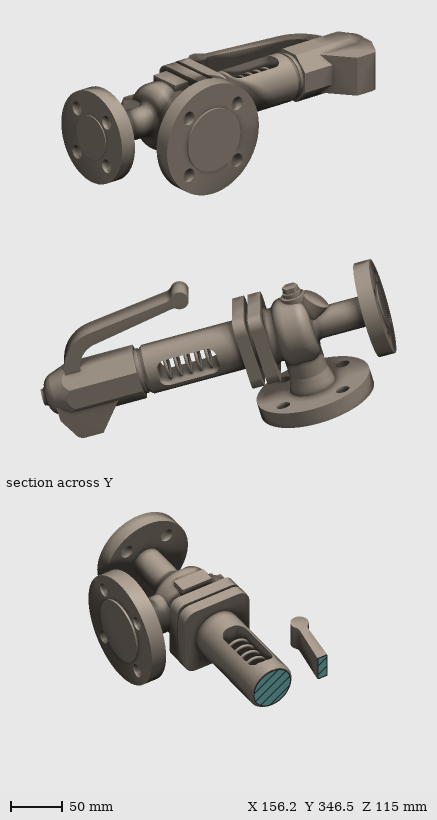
import cadquery as cq
import math


total_length = 346.5
cap_bottom_y = 248.0
spindle_groove_top_y = 244.5
spindle_groove_bottom_y = 242.5
bonnet_shoulder_y = 239.5
bonnet_flange_top_y = 143.5
bonnet_flange_bottom_y = 131.5
body_flange_top_y = 128.0
body_flange_bottom_y = 115.0
body_top_y = 107.8
body_bottom_y = 71.0

bonnet_radius = 24.5
bonnet_top_radius = 22.5
collar_radius = 22.5
groove_radius = 21.5
window_width = 27.0
window_top_y = 229.0
window_bottom_y = 168.5
window_corner_radius = 9.0

coil_count = 5
coil_first_y = 178.8
coil_pitch = 10.5
coil_ring_radius = 14.0
coil_wire_radius = 1.55

cap_sides = 8
cap_across_flats = 50.0
cone_top_y = 334.7
cone_top_radius = 20.5
cone_touch_y = 322.2
dome_top_y = 342.0
dome_top_radius = 12.8
knob_radius = 8.3
knob_foot_top_y = 345.0
dome_middle = (17.3, 339.2)
knob_foot_middle = (9.7, 343.0)

bonnet_flange_side = 75.0
bonnet_flange_corner = 13.0
body_flange_side = 73.5
body_flange_corner = 11.0
joint_upper_radius = 27.7
joint_lower_radius = 31.5
joint_step_y = 129.5

body_radius = 34.0
neck_flange_radius = 29.0
neck_waist_radius = 26.7
neck_waist_y = 111.2
neck_foot_radius = 27.7
body_top_rounding = 11.5
body_bottom_rounding = 12.0

raised_face_height = 1.0
inlet_pipe_radius = 15.2
inlet_fillet = 5.5
inlet_flange_radius = 47.5
inlet_flange_back_y = 17.0
inlet_face_radius = 22.5
inlet_bolt_circle_radius = 32.5

outlet_axis_y = 90.0
outlet_pipe_radius = 19.0
outlet_cone_start_x = 45.5
outlet_cone_end_radius = 23.2
outlet_flange_radius = 57.5
outlet_flange_back_x = 61.7
outlet_flange_front_x = 78.0
outlet_face_x = 80.0
outlet_face_radius = 32.5
outlet_bolt_circle_radius = 42.5
bolt_hole_radius = 7.0
bolt_count = 4

drain_axis_y = 82.0
drain_boss_radius = 12.0
drain_boss_end_x = -36.5
drain_washer_radius = 9.0
drain_washer_end_x = -40.5
drain_hex_sides = 6
drain_hex_across_flats = 14.0
drain_hex_end_x = -46.0
slant_boss_radius = 14.2
slant_boss_x = -26.0
slant_boss_y = 61.7
slant_boss_length = 27.7

pad_width = 33.5
pad_top_y = 108.0
pad_bottom_y = 91.8
pad_bottom_z = 17.3
pad_top_z = 36.5

lever_thickness = 26.7
lever_root_x = -17.3
lever_bend_start_x = -22.0
lever_bend_end_y = 282.7
lever_outer_root_y = 317.7
lever_outer_bend_middle = (-46.8, 306.3)
lever_outer_bend_end_x = -58.5
lever_outer_tip_x = -71.0
lever_inner_root_y = 301.8
lever_inner_bend_middle = (-37.5, 295.2)
lever_inner_bend_end_x = -45.5
lever_inner_tip_x = -62.7
lever_ball_x = -67.2
lever_ball_y = 187.8
lever_ball_radius = 9.0
lever_ball_fillet = 7.0
lug_thickness = 40.2
lug_inner_x = 7.0
lug_outer_x = 44.5
lug_top_end_x = 20.5
lug_slope_end = (39.5, 324.3)
lug_round_middle = (43.0, 321.2)
lug_round_end_y = 317.0
lug_side_bottom_y = 298.0
lug_bottom_y = 267.5


def prism(outline, thickness):
    """Extrude an XY outline equally above and below z = 0."""
    return outline.close().extrude(thickness / 2, both=True)


def square_flange(side, corner, bottom_y, top_y):
    """Square plate across the stem with rounded corners."""
    plate = cq.Workplane("XY").box(side, top_y - bottom_y, side)
    return plate.edges("|Y").fillet(corner).translate((0, (top_y + bottom_y) / 2, 0))


def rod(radius, start, direction, length):
    """Cylinder that starts at a point and runs along a direction."""
    return cq.Workplane(obj=cq.Solid.makeCylinder(radius, length, cq.Vector(*start), cq.Vector(*direction)))


def make_bonnet():
    """Round bonnet with a spring window cut through it and the coils seated inside."""
    profile = (
        cq.Workplane("XY")
        .moveTo(0, bonnet_flange_bottom_y)
        .lineTo(bonnet_radius, bonnet_flange_bottom_y)
        .lineTo(bonnet_radius, bonnet_shoulder_y)
        .lineTo(bonnet_top_radius, spindle_groove_bottom_y)
        .lineTo(groove_radius, spindle_groove_bottom_y)
        .lineTo(groove_radius, spindle_groove_top_y)
        .lineTo(collar_radius, spindle_groove_top_y)
        .lineTo(collar_radius, cap_bottom_y)
        .lineTo(0, cap_bottom_y)
        .close()
    )
    bonnet = profile.revolve(360, (0, 0, 0), (0, 1, 0))
    window = (
        cq.Workplane("XY")
        .box(window_width, window_top_y - window_bottom_y, 2 * bonnet_radius)
        .edges("|Z")
        .fillet(window_corner_radius)
        .translate((0, (window_top_y + window_bottom_y) / 2, 0))
    )
    bonnet = bonnet.cut(window)
    for i in range(coil_count):
        center = cq.Vector(0, coil_first_y + i * coil_pitch, 0)
        coil = cq.Solid.makeTorus(coil_ring_radius, coil_wire_radius, center, cq.Vector(0, 1, 0))
        bonnet = bonnet.union(cq.Workplane(obj=coil))
    return bonnet


def make_cap():
    """Octagonal bar trimmed by a cone, dome and knob at its upper end."""
    corner_diameter = cap_across_flats / math.cos(math.pi / cap_sides)
    octagon = (
        cq.Workplane("XZ", origin=(0, cap_bottom_y, 0))
        .polygon(cap_sides, corner_diameter)
        .extrude(-(total_length - cap_bottom_y))
        .rotate((0, 0, 0), (0, 1, 0), 180 / cap_sides)
    )
    cone_slope = (cap_across_flats / 2 - cone_top_radius) / (cone_top_y - cone_touch_y)
    outer_radius = corner_diameter / 2
    cone_base_y = cone_top_y - (outer_radius - cone_top_radius) / cone_slope
    envelope = (
        cq.Workplane("XY")
        .moveTo(0, cap_bottom_y)
        .lineTo(outer_radius, cap_bottom_y)
        .lineTo(outer_radius, cone_base_y)
        .lineTo(cone_top_radius, cone_top_y)
        .threePointArc(dome_middle, (dome_top_radius, dome_top_y))
        .threePointArc(knob_foot_middle, (knob_radius, knob_foot_top_y))
        .lineTo(knob_radius, total_length)
        .lineTo(0, total_length)
        .close()
        .revolve(360, (0, 0, 0), (0, 1, 0))
    )
    return octagon.intersect(envelope)


def make_lever():
    """Curved arm ending in a round grip."""
    arm = prism(
        cq.Workplane("XY")
        .moveTo(lever_root_x, lever_outer_root_y)
        .lineTo(lever_bend_start_x, lever_outer_root_y)
        .threePointArc(lever_outer_bend_middle, (lever_outer_bend_end_x, lever_bend_end_y))
        .lineTo(lever_outer_tip_x, lever_ball_y)
        .lineTo(lever_inner_tip_x, lever_ball_y)
        .lineTo(lever_inner_bend_end_x, lever_bend_end_y)
        .threePointArc(lever_inner_bend_middle, (lever_bend_start_x, lever_inner_root_y))
        .lineTo(lever_root_x, lever_inner_root_y),
        lever_thickness,
    )
    grip_start = (lever_ball_x, lever_ball_y, -lever_thickness / 2)
    grip = rod(lever_ball_radius, grip_start, (0, 0, 1), lever_thickness)
    lever = arm.union(grip)
    junction = cq.selectors.BoxSelector(
        (lever_ball_x - lever_ball_radius, lever_ball_y + lever_ball_radius / 2, -lever_thickness),
        (lever_ball_x + lever_ball_radius, lever_ball_y + lever_ball_radius, lever_thickness),
    )
    return lever.edges("|Z").edges(junction).fillet(lever_ball_fillet)


def make_lug():
    """Hinge lug on the side of the cap opposite the lever."""
    return prism(
        cq.Workplane("XY")
        .moveTo(lug_inner_x, cone_top_y)
        .lineTo(lug_top_end_x, cone_top_y)
        .lineTo(*lug_slope_end)
        .threePointArc(lug_round_middle, (lug_outer_x, lug_round_end_y))
        .lineTo(lug_outer_x, lug_side_bottom_y)
        .lineTo(lug_inner_x, lug_bottom_y),
        lug_thickness,
    )


def make_body():
    """Joint ring, neck, rounded body, inlet pipe and inlet flange in one revolved profile."""
    top_flat_y = body_top_y - body_top_rounding
    bottom_flat_y = body_bottom_y + body_bottom_rounding
    diagonal = math.sqrt(0.5)
    top_step = body_top_rounding * diagonal
    bottom_step = body_bottom_rounding * diagonal
    fillet_step = inlet_fillet * diagonal
    top_center_x = body_radius - body_top_rounding
    bottom_center_x = body_radius - body_bottom_rounding
    fillet_center_x = inlet_pipe_radius + inlet_fillet
    fillet_center_y = body_bottom_y - inlet_fillet
    neck_foot_y = top_flat_y + math.sqrt(body_top_rounding**2 - (neck_foot_radius - top_center_x) ** 2)
    profile = (
        cq.Workplane("XY")
        .moveTo(0, bonnet_flange_bottom_y)
        .lineTo(joint_upper_radius, bonnet_flange_bottom_y)
        .lineTo(joint_upper_radius, joint_step_y)
        .lineTo(joint_lower_radius, body_flange_top_y)
        .lineTo(neck_flange_radius, body_flange_top_y)
        .lineTo(neck_flange_radius, body_flange_bottom_y)
        .threePointArc((neck_waist_radius, neck_waist_y), (neck_foot_radius, neck_foot_y))
        .threePointArc(
            (top_center_x + top_step, top_flat_y + top_step),
            (body_radius, top_flat_y),
        )
        .lineTo(body_radius, bottom_flat_y)
        .threePointArc(
            (bottom_center_x + bottom_step, bottom_flat_y - bottom_step),
            (bottom_center_x, body_bottom_y),
        )
        .lineTo(fillet_center_x, body_bottom_y)
        .threePointArc(
            (fillet_center_x - fillet_step, fillet_center_y + fillet_step),
            (inlet_pipe_radius, fillet_center_y),
        )
        .lineTo(inlet_pipe_radius, inlet_flange_back_y)
        .lineTo(inlet_flange_radius, inlet_flange_back_y)
        .lineTo(inlet_flange_radius, raised_face_height)
        .lineTo(inlet_face_radius, raised_face_height)
        .lineTo(inlet_face_radius, 0)
        .lineTo(0, 0)
        .close()
    )
    return profile.revolve(360, (0, 0, 0), (0, 1, 0))


def make_outlet():
    """Side pipe, flared neck and flange along +X."""
    points = [
        (0, 0),
        (0, outlet_pipe_radius),
        (outlet_cone_start_x, outlet_pipe_radius),
        (outlet_flange_back_x, outlet_cone_end_radius),
        (outlet_flange_back_x, outlet_flange_radius),
        (outlet_flange_front_x, outlet_flange_radius),
        (outlet_flange_front_x, outlet_face_radius),
        (outlet_face_x, outlet_face_radius),
        (outlet_face_x, 0),
    ]
    outlet = cq.Workplane("XY").polyline(points).close().revolve(360, (0, 0, 0), (1, 0, 0))
    return outlet.translate((0, outlet_axis_y, 0))


def bolt_offsets(circle_radius):
    """Bolt positions straddling the centre lines of a flange."""
    angles = [math.pi / bolt_count * (2 * i + 1) for i in range(bolt_count)]
    return [(circle_radius * math.cos(a), circle_radius * math.sin(a)) for a in angles]


def make_bolt_holes():
    """Cutting cylinders for the bolt holes of both flanges."""
    holes = []
    for dx, dz in bolt_offsets(inlet_bolt_circle_radius):
        holes.append(rod(bolt_hole_radius, (dx, 0, dz), (0, 1, 0), inlet_flange_back_y))
    outlet_depth = outlet_flange_front_x - outlet_flange_back_x
    for dy, dz in bolt_offsets(outlet_bolt_circle_radius):
        start = (outlet_flange_back_x, outlet_axis_y + dy, dz)
        holes.append(rod(bolt_hole_radius, start, (1, 0, 0), outlet_depth))
    return holes


def make_drain():
    """Boss, washer and hexagon plug along -X, with a boss slanted at 45 degrees below them."""
    start = (0, drain_axis_y, 0)
    boss = rod(drain_boss_radius, start, (-1, 0, 0), -drain_boss_end_x)
    washer = rod(drain_washer_radius, start, (-1, 0, 0), -drain_washer_end_x)
    plug = (
        cq.Workplane("YZ", origin=start)
        .polygon(drain_hex_sides, drain_hex_across_flats / math.cos(math.pi / drain_hex_sides))
        .extrude(drain_hex_end_x)
    )
    slant_start = (slant_boss_x, slant_boss_y, 0)
    slanted_boss = rod(slant_boss_radius, slant_start, (1, 1, 0), slant_boss_length)
    return boss.union(washer).union(plug).union(slanted_boss)


def make_pad():
    """Raised rectangular pad on the upper side of the body."""
    pad = cq.Workplane("XY").box(pad_width, pad_top_y - pad_bottom_y, pad_top_z - pad_bottom_z)
    return pad.translate((0, (pad_top_y + pad_bottom_y) / 2, (pad_top_z + pad_bottom_z) / 2))


bonnet_flange = square_flange(
    bonnet_flange_side, bonnet_flange_corner, bonnet_flange_bottom_y, bonnet_flange_top_y
)
body_flange = square_flange(body_flange_side, body_flange_corner, body_flange_bottom_y, body_flange_top_y)

result = (
    make_body()
    .union(make_outlet())
    .union(bonnet_flange)
    .union(body_flange)
    .union(make_drain())
    .union(make_pad())
    .union(make_bonnet())
    .union(make_cap())
    .union(make_lever())
    .union(make_lug())
)
for hole in make_bolt_holes():
    result = result.cut(hole)